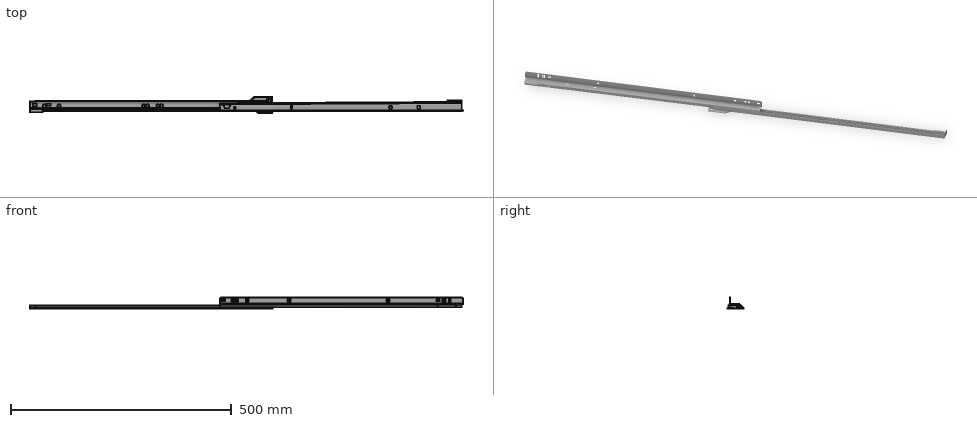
import cadquery as cq

total_length = 980.8
total_width = 36.65
total_height = 25.5
sheet = 1.2
half_width = total_width / 2

drawer_length = 550.0
drawer_top = 8.2
wall_outer = 9.8
wall_inner = wall_outer - sheet
floor_edge = 5.0
floor_rise = 0.9
foot_edge = -14.0
foot_top = 3.5
foot_step_y = -10.0
foot_step_top = 2.3
foot_inner = -6.6
head_length = 29.0
head_edge = -16.6
head_corner = 12.0
head_corner_edge = 8.2
hole_y = -2.0
round_hole = 6.6
hole_pitch = 32.0
drawer_holes = [33.0, 66.0]
hole_pair = [257.6, 266.0]
recess_size = (9.0, 5.0)
recess_centers = [(11.0, 0.0), (43.0, 0.5)]

clip_start = 498.0
clip_shoulder = 508.0
clip_end = 548.5
clip_hole = (542.0, 10.2)
clip_hole_diameter = 6.6
clip_block = 12.0
clip_block_height = 1.8
ear_start = 512.0
ear_slant = 6.0
gusset_top = 9.4
gusset_thickness = 1.2

cabinet_start = 430.0
flange_end = 978.0
flange_top = 11.0
web_outer = -12.6
web_foot = -14.0
jog_low = 10.5
jog_high = 11.9
flange_edge_start = 1.2
flange_edge_end = 4.3
flange_lip = 3.2
flange_lip_drop = 1.2
skirt_bottom = 2.8
stop_start = 945.0
stop_bend = 8.0
stop_edge = 10.3
stop_drop = 2.5
web_corner = 3.0
web_hole_z = 18.6
web_hole = 4.5
web_sink = 7.6
web_holes = [459.5, 468.0, 492.0, 587.0, 811.0]
small_slots = [438.0, 924.0]
small_slot_size = (7.0, 3.5)
tall_slots = [(935.5, 2.2), (939.5, 2.2), (950.5, 3.2)]
tall_slot_height = 9.0
flange_hole_y = -5.0
flange_holes = [816.5, 880.5]
flange_slot = (592.5, -4.0)
flange_slot_size = (2.6, 7.0)
flange_pin_hole = (464.0, -6.0)
pin_hole_diameter = 4.0
dimple_middle = 446.0
dimple_sides = [(0.5, 17.0), (-7.0, 9.0)]
dimple_depth = 0.6
skirt_slits = [922.5, 964.0]
slit_width = 0.6
slit_top = 7.5


def box(x0, x1, y0, y1, z0, z1):
    """Block between the given limits."""
    return cq.Workplane("XY").box(x1 - x0, y1 - y0, z1 - z0, centered=False).translate((x0, y0, z0))


def along_x(points, start, end):
    """Extrude a (Y, Z) outline from start to end along X."""
    return cq.Workplane("YZ", origin=(start, 0, 0)).polyline(points).close().extrude(end - start)


def upright_hole(x, y, diameter):
    """Cutter for a vertical through hole."""
    return cq.Workplane("XY").center(x, y).circle(diameter / 2).extrude(total_height)


def drawer_channel():
    """Flat floor with a gentle rise, +Y wall and stepped -Y foot."""
    outline = [
        (foot_edge, 0),
        (floor_edge, 0),
        (wall_outer, floor_rise),
        (wall_outer, drawer_top),
        (wall_inner, drawer_top),
        (wall_inner, sheet + floor_rise),
        (floor_edge, sheet),
        (foot_inner, sheet),
        (foot_inner, foot_step_top),
        (foot_step_y, foot_step_top),
        (foot_step_y, foot_top),
        (foot_edge, foot_top),
    ]
    return along_x(outline, 0, drawer_length)


def drawer_head():
    """Wider foot at the free end, an end wall and a set-in +Y wall."""
    foot = box(0, head_length, head_edge, foot_edge, 0, foot_top)
    end_wall = box(0, sheet, head_edge, head_corner_edge, 0, drawer_top)
    set_in_wall = box(0, head_corner + sheet, head_corner_edge - sheet, head_corner_edge, 0, drawer_top)
    link = box(head_corner, head_corner + sheet, head_corner_edge - sheet, wall_outer, floor_rise, drawer_top)
    return foot.union(end_wall).union(set_in_wall).union(link)


def clip():
    """Base plate with ears on both sides, a gusset and a raised pad."""
    outline = [
        (clip_start, wall_outer),
        (clip_shoulder, half_width),
        (clip_end, half_width),
        (clip_end, foot_edge + sheet),
        (drawer_length, foot_edge),
        (clip_end, -half_width),
        (ear_start + ear_slant, -half_width),
        (ear_start, foot_edge),
        (clip_start, foot_edge),
    ]
    base = cq.Workplane("XY").polyline(outline).close().extrude(sheet)
    slanted_strip = [
        (clip_start, wall_inner),
        (clip_shoulder, half_width),
        (clip_shoulder + gusset_thickness, half_width),
        (clip_start + gusset_thickness, wall_inner),
    ]
    gusset = cq.Workplane("XY").polyline(slanted_strip).close().extrude(gusset_top)
    slope = [(0, 0), (half_width, 0), (half_width, sheet), (wall_outer, gusset_top), (0, gusset_top)]
    gusset = gusset.intersect(along_x(slope, clip_start, drawer_length))
    pad = box(clip_end - clip_block, clip_end, floor_edge, half_width - sheet, 0, clip_block_height)
    return base.union(gusset).union(pad)


def drawer_rail():
    rail = drawer_channel()
    rail = rail.cut(box(0, head_corner, head_corner_edge, wall_outer, 0, drawer_top))
    opening_start = clip_end - clip_block
    rail = rail.cut(box(opening_start, drawer_length, floor_edge, wall_outer, 0, drawer_top))
    rail = rail.union(drawer_head())
    rail = rail.union(clip()).cut(upright_hole(*clip_hole, clip_hole_diameter))
    for x in drawer_holes:
        rail = rail.cut(upright_hole(x, hole_y, round_hole))
    for x in hole_pair:
        for shift in (0, hole_pitch):
            rail = rail.cut(upright_hole(x + shift, hole_y, round_hole))
    for x, y in recess_centers:
        recess = cq.Workplane("XY", origin=(x, y, sheet / 2))
        rail = rail.cut(recess.rect(*recess_size).extrude(sheet))
    return rail


def cabinet_profile(flat_edge):
    """Upright web at -Y, flat flange, sloping bend and hanging skirt at +Y."""
    inner = flange_top - sheet
    lip_edge = flat_edge + flange_lip
    return [
        (web_outer, total_height),
        (web_outer, jog_high),
        (web_foot, jog_low),
        (web_foot, inner),
        (flat_edge, inner),
        (lip_edge - sheet, inner - flange_lip_drop),
        (lip_edge - sheet, skirt_bottom),
        (lip_edge, skirt_bottom),
        (lip_edge, flange_top - flange_lip_drop),
        (flat_edge, flange_top),
        (web_outer + sheet, flange_top),
        (web_outer + sheet, total_height),
    ]


def web_plane(x):
    """Workplane on the outer web face at the height of the web holes."""
    return cq.Workplane("XZ", origin=(x, web_outer, web_hole_z))


def cabinet_rail():
    rail = (
        cq.Workplane("YZ", origin=(cabinet_start, 0, 0))
        .polyline(cabinet_profile(flange_edge_start)).close()
        .workplane(offset=flange_end - cabinet_start)
        .polyline(cabinet_profile(flange_edge_end)).close()
        .loft(ruled=True)
    )
    web_tip = box(flange_end, total_length, web_outer, web_outer + sheet, flange_top - sheet, total_height)
    rail = rail.union(web_tip)
    rail = rail.edges("|Y and >Z").chamfer(web_corner)
    stop = [
        (0, flange_top - sheet),
        (stop_bend, flange_top - sheet),
        (stop_edge, flange_top - stop_drop - sheet),
        (stop_edge, flange_top - stop_drop),
        (stop_bend, flange_top),
        (0, flange_top),
    ]
    rail = rail.union(along_x(stop, stop_start, flange_end))
    for x in web_holes:
        cone = web_plane(x).circle(web_sink / 2).workplane(offset=-sheet).circle(web_hole / 2).loft()
        rail = rail.cut(cone)
    for x in small_slots:
        rail = rail.cut(web_plane(x).rect(*small_slot_size).extrude(-sheet))
    for x, width in tall_slots:
        rail = rail.cut(web_plane(x).rect(width, tall_slot_height).extrude(-sheet))
    for x in flange_holes:
        rail = rail.cut(upright_hole(x, flange_hole_y, round_hole))
    rail = rail.cut(upright_hole(*flange_pin_hole, pin_hole_diameter))
    rail = rail.cut(cq.Workplane("XY").center(*flange_slot).rect(*flange_slot_size).extrude(total_height))
    for x in skirt_slits:
        rail = rail.cut(box(x, x + slit_width, flange_edge_end, stop_bend, skirt_bottom, slit_top))
    return rail.cut(dimple())


def dimple():
    """Cutter for a shallow trapezoid in the flange."""
    (wide_y, wide_length), (narrow_y, narrow_length) = dimple_sides
    outline = [
        (dimple_middle - wide_length / 2, wide_y),
        (dimple_middle + wide_length / 2, wide_y),
        (dimple_middle + narrow_length / 2, narrow_y),
        (dimple_middle - narrow_length / 2, narrow_y),
    ]
    floor = cq.Workplane("XY", origin=(0, 0, flange_top - dimple_depth))
    return floor.polyline(outline).close().extrude(sheet)


drawer = drawer_rail()
cabinet = cabinet_rail()
result = cq.Compound.makeCompound([*drawer.vals(), *cabinet.vals()])